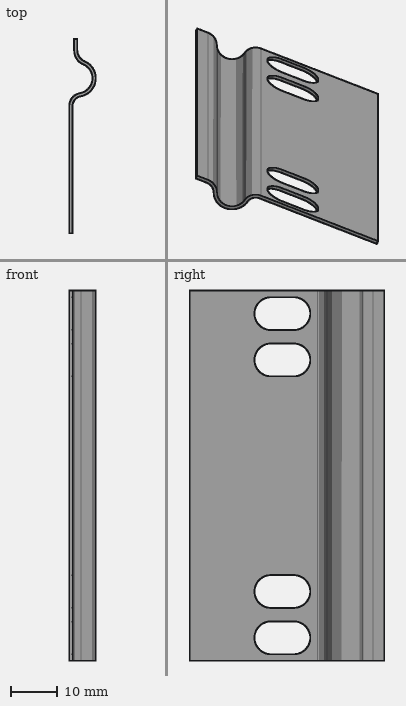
import cadquery as cq
import math

HEIGHT = 80.0
DEPTH = 42.0
WIDTH = 5.8
THICKNESS = 0.75

BEAD_OUTER_RADIUS = 4.0
BEAD_TO_BEND = 6.0
LIP_LENGTH = 2.5
LIP_OFFSET = 1.0

SLOT_LENGTH = 12.0
SLOT_HEIGHT = 7.0
SLOT_PITCH = 10.0
SLOT_FROM_FLANGE_EDGE = 20.0

bead_inner_radius = BEAD_OUTER_RADIUS - THICKNESS
bead_x = WIDTH - BEAD_OUTER_RADIUS
bead_y = DEPTH - LIP_LENGTH - BEAD_TO_BEND
flange_bend_y = bead_y - BEAD_TO_BEND
lip_bend_y = bead_y + BEAD_TO_BEND


def bend_radius(face_x):
    """Radius of the -X face of a bend tangent to the plane x = face_x and to the bead.

    The bend and bead centres are bend radius + bead inner radius apart.
    """
    offset = bead_x - face_x
    squares = BEAD_TO_BEND**2 + offset**2 - bead_inner_radius**2
    return squares / (2 * (bead_inner_radius + offset))


def polar(center, radius, angle):
    return (center[0] + radius * math.cos(angle), center[1] + radius * math.sin(angle))


def make_strip():
    bead = (bead_x, bead_y)
    flange_radius = bend_radius(0)
    lip_radius = bend_radius(LIP_OFFSET)
    flange_bend = (flange_radius, flange_bend_y)
    lip_bend = (LIP_OFFSET + lip_radius, lip_bend_y)

    flange_angle = math.atan2(-BEAD_TO_BEND, flange_bend[0] - bead_x)
    lip_angle = math.atan2(BEAD_TO_BEND, lip_bend[0] - bead_x)
    flange_middle = (math.pi + flange_angle + math.pi) / 2
    lip_middle = (math.pi + lip_angle + math.pi) / 2
    bead_middle = (flange_angle + lip_angle) / 2

    def face(profile, inset, bead_radius, to_lip):
        """Add the three tangent arcs of one face, inset from the -X face."""
        flange_arc = [
            (inset, flange_bend_y),
            polar(flange_bend, flange_radius - inset, flange_middle),
            polar(bead, bead_radius, flange_angle),
        ]
        lip_arc = [
            polar(bead, bead_radius, lip_angle),
            polar(lip_bend, lip_radius - inset, lip_middle),
            (LIP_OFFSET + inset, lip_bend_y),
        ]
        bead_arc = [flange_arc[2], polar(bead, bead_radius, bead_middle), lip_arc[0]]
        arcs = [flange_arc, bead_arc, lip_arc]
        if not to_lip:
            arcs = [arc[::-1] for arc in reversed(arcs)]
        profile = profile.lineTo(*arcs[0][0])
        for _, middle, end in arcs:
            profile = profile.threePointArc(middle, end)
        return profile

    profile = cq.Workplane("XY").moveTo(0, 0).lineTo(THICKNESS, 0)
    profile = face(profile, THICKNESS, BEAD_OUTER_RADIUS, to_lip=True)
    profile = profile.lineTo(LIP_OFFSET + THICKNESS, DEPTH).lineTo(LIP_OFFSET, DEPTH)
    profile = face(profile, 0, bead_inner_radius, to_lip=False)
    return profile.close().extrude(HEIGHT)


def make_slots():
    end_distances = [SLOT_PITCH / 2, SLOT_PITCH * 3 / 2]
    heights = end_distances + [HEIGHT - distance for distance in end_distances]
    centers = [(SLOT_FROM_FLANGE_EDGE, z) for z in heights]
    return cq.Workplane("YZ").pushPoints(centers).slot2D(SLOT_LENGTH, SLOT_HEIGHT).extrude(THICKNESS)


result = make_strip().cut(make_slots())